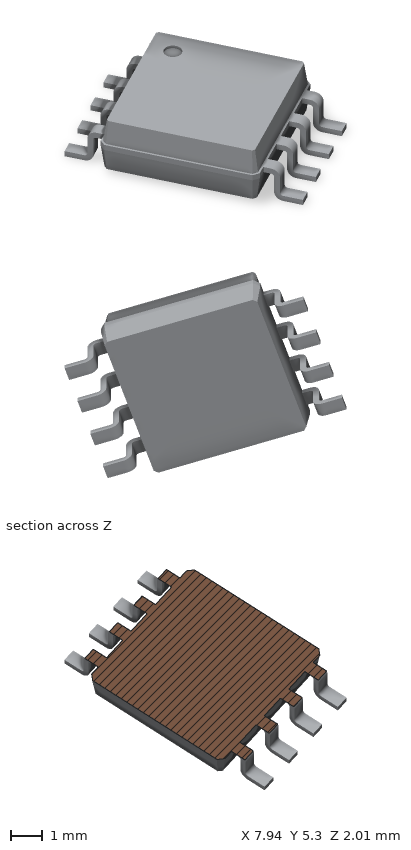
import cadquery as cq
import math


LEAD_SPAN = 7.94
BODY_WIDTH = 5.3
TOTAL_HEIGHT = 2.01

LEADS_PER_SIDE = 4
LEAD_PITCH = 1.27
LEAD_WIDTH = 0.45
LEAD_THICKNESS = 0.2
INNER_BEND_RADIUS = 0.1
OUTER_BEND_RADIUS = INNER_BEND_RADIUS + LEAD_THICKNESS
FOOT_LENGTH = 0.76
LEAD_EMBED = 0.3

STANDOFF = 0.16
BAND_TOP = 1.18
BAND_HEIGHT = LEAD_THICKNESS
BAND_BOTTOM = BAND_TOP - BAND_HEIGHT
CORNER_CHAMFER = 0.18
LEDGE = 0.07
DRAFT_ANGLE = 7.8

MARK_DIAMETER = 0.6
MARK_DEPTH = 0.1
MARK_OFFSET = 1.65


def chamfered_square(inset, z):
    """Square body outline with chamfered corners, moved inward by inset, at height z."""
    side = BODY_WIDTH - 2 * inset
    leg = CORNER_CHAMFER - inset * (2 - math.sqrt(2))
    return cq.Sketch().rect(side, side).vertices().chamfer(leg).moved(cq.Location(cq.Vector(0, 0, z)))


def frustum(wide_inset, z_wide, z_narrow):
    """Drafted half of the body, narrowing away from the parting band."""
    narrow_inset = wide_inset + abs(z_narrow - z_wide) * math.tan(math.radians(DRAFT_ANGLE))
    wide = chamfered_square(wide_inset, z_wide)
    narrow = chamfered_square(narrow_inset, z_narrow)
    return cq.Workplane().placeSketch(wide, narrow).loft(ruled=True)


def make_body():
    lower = frustum(0, BAND_BOTTOM, STANDOFF)
    band = cq.Workplane().placeSketch(chamfered_square(0, BAND_BOTTOM)).extrude(BAND_HEIGHT)
    upper = frustum(LEDGE, BAND_TOP, TOTAL_HEIGHT)
    return lower.union(band).union(upper)


def make_pin_mark():
    return (
        cq.Workplane("XY", origin=(-MARK_OFFSET, MARK_OFFSET, TOTAL_HEIGHT - MARK_DEPTH))
        .circle(MARK_DIAMETER / 2)
        .extrude(MARK_DEPTH)
    )


def make_lead(y):
    """Gull-wing lead on the -X side, centred at the given Y."""
    tip = -LEAD_SPAN / 2
    upright_outer = tip + FOOT_LENGTH
    upright_inner = upright_outer + LEAD_THICKNESS
    root = -BODY_WIDTH / 2 + LEAD_EMBED
    arm_underside = BAND_TOP - LEAD_THICKNESS
    profile = (
        cq.Workplane("XZ", origin=(0, y, 0))
        .moveTo(tip, 0)
        .lineTo(upright_inner - OUTER_BEND_RADIUS, 0)
        .radiusArc((upright_inner, OUTER_BEND_RADIUS), -OUTER_BEND_RADIUS)
        .lineTo(upright_inner, arm_underside - INNER_BEND_RADIUS)
        .radiusArc((upright_inner + INNER_BEND_RADIUS, arm_underside), INNER_BEND_RADIUS)
        .lineTo(root, arm_underside)
        .lineTo(root, BAND_TOP)
        .lineTo(upright_outer + OUTER_BEND_RADIUS, BAND_TOP)
        .radiusArc((upright_outer, BAND_TOP - OUTER_BEND_RADIUS), -OUTER_BEND_RADIUS)
        .lineTo(upright_outer, LEAD_THICKNESS + INNER_BEND_RADIUS)
        .radiusArc((upright_outer - INNER_BEND_RADIUS, LEAD_THICKNESS), INNER_BEND_RADIUS)
        .lineTo(tip, LEAD_THICKNESS)
        .close()
    )
    return profile.extrude(LEAD_WIDTH / 2, both=True)


result = make_body().cut(make_pin_mark())
for index in range(LEADS_PER_SIDE):
    lead_y = (index - (LEADS_PER_SIDE - 1) / 2) * LEAD_PITCH
    lead = make_lead(lead_y)
    result = result.union(lead).union(lead.mirror("YZ"))